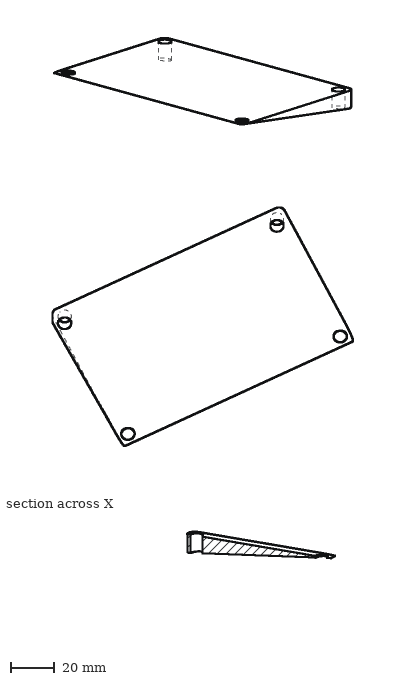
import cadquery as cq
import math

length = 118.5
width = 75.0
slope_angle = 7.0
rear_corner_radius = 3.0
bottom_edge_radius = 1.0
hole_diameter = 6.0
hole_inset = 5.0

slope = math.tan(math.radians(slope_angle))
rear_depth = width * slope
stock_margin = 5.9


def sloped_stock():
    """Oversized block with a sloping underside and rounded rear and lower edges."""
    profile = [
        (-stock_margin, stock_margin),
        (width, stock_margin),
        (width, -rear_depth),
        (-stock_margin, stock_margin * slope),
    ]
    stock = cq.Workplane("YZ").polyline(profile).close().extrude(length / 2, both=True)
    stock = stock.edges("|Z and >Y").fillet(rear_corner_radius)
    underside_edges = stock.faces("<Z").edges("not(<Y)")
    return underside_edges.fillet(bottom_edge_radius)


def trim_to_wedge(stock):
    """Keep the material below the flat top and behind the front edge."""
    envelope = cq.Workplane("XY").box(length, width, rear_depth, centered=(True, False, False))
    return stock.intersect(envelope.translate((0, 0, -rear_depth)))


def drill_corner_holes(wedge):
    """Vertical through holes, equally inset from the sides at all four corners."""
    holes = (
        cq.Workplane("XY")
        .center(0, width / 2)
        .rect(length - 2 * hole_inset, width - 2 * hole_inset, forConstruction=True)
        .vertices()
        .circle(hole_diameter / 2)
        .extrude(-rear_depth)
    )
    return wedge.cut(holes)


result = drill_corner_holes(trim_to_wedge(sloped_stock()))